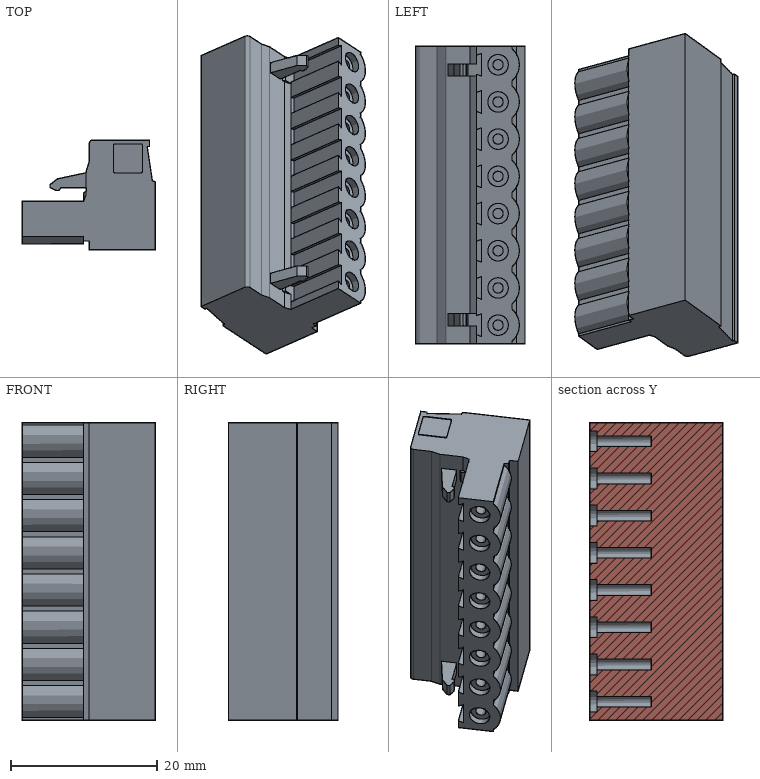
import cadquery as cq
import math


POLES = 8
PITCH = 5.08
LENGTH = POLES * PITCH

BACK_X = 18.2
HOUSING_X = 9.15
TOP_Y = 15.0
LEDGE_X = 17.4
LEDGE_DEPTH = 0.9
LEDGE_UNDERCUT = 0.3
BACK_SLOPE_X = 17.8
BACK_SLOPE_Y = 9.45
BACK_SHOULDER_Y = 9.3
TOP_FILLET = 0.5

STEP_X = 8.75
STEP_SLOPE_TOP_Y = 12.05
STEP_SLOPE_BOTTOM_Y = 10.8
CHAMFER_TOP_Y = 7.55

PLUG_END_X = 8.4
PLUG_BOTTOM_Y = 1.8
PLUG_TOP_Y = 6.65
NECK_BOTTOM_Y = 1.2

AXIS_Y = 3.7
BARREL_RADIUS = 2.9
ENTRY_DIAMETER = 2.8
ENTRY_DEPTH = 1.0
CONTACT_DIAMETER = 1.4
CONTACT_DEPTH = PLUG_END_X

GROOVE_FLOOR_Y = 5.95
GROOVE_FLOOR_WIDTH = 3.1
GROOVE_MOUTH_WIDTH = 2.6

LATCH_WIDTH = 1.65
LATCH_END_OFFSET = 2.45
LATCH_TIP_X = 3.8
LATCH_TIP_TOP_Y = 8.9
LATCH_TIP_BOTTOM_Y = 8.5
LATCH_NOSE_TOP = (4.8, 9.7)
LATCH_ROOT_TOP_Y = 10.55
LATCH_BARB_FRONT = (4.65, 8.1)
LATCH_BARB_BACK = (5.05, 8.1)
LATCH_BARB_ROOT_X = 5.3
LATCH_UNDERSIDE_Y = 8.45
LATCH_EMBED = 0.5

STOP_FRONT_TOP_Y = 7.8
STOP_BACK_TOP_Y = 8.0

LABEL_SIZE = 3.95
LABEL_CENTER = (14.45, 12.5)
LABEL_DEPTH = 0.1
LABEL_CORNER_RADIUS = 0.2


def pole_height(index):
    """Z of the axis of one pole."""
    return (index + 0.5) * PITCH


def make_housing():
    """Housing, neck and plug as one profile extruded along the row."""
    profile = [
        (0, PLUG_BOTTOM_Y),
        (PLUG_END_X, PLUG_BOTTOM_Y),
        (PLUG_END_X, NECK_BOTTOM_Y),
        (HOUSING_X, NECK_BOTTOM_Y),
        (HOUSING_X, 0),
        (BACK_X, 0),
        (BACK_X, BACK_SHOULDER_Y),
        (BACK_SLOPE_X, BACK_SLOPE_Y),
        (LEDGE_X - LEDGE_UNDERCUT, TOP_Y - LEDGE_DEPTH),
        (LEDGE_X, TOP_Y - LEDGE_DEPTH),
        (LEDGE_X, TOP_Y),
        (HOUSING_X, TOP_Y),
        (HOUSING_X, STEP_SLOPE_TOP_Y),
        (STEP_X, STEP_SLOPE_BOTTOM_Y),
        (STEP_X, CHAMFER_TOP_Y),
        (PLUG_END_X, PLUG_TOP_Y),
        (0, PLUG_TOP_Y),
    ]
    housing = cq.Workplane("XY").polyline(profile).close().extrude(LENGTH)
    top_front_edge = cq.selectors.NearestToPointSelector((HOUSING_X, TOP_Y, LENGTH / 2))
    return housing.edges(top_front_edge).fillet(TOP_FILLET)


def make_barrel(z):
    """Round barrel of one pole, bulging out of the -Y side of the plug."""
    half_chord = math.sqrt(BARREL_RADIUS**2 - (AXIS_Y - PLUG_BOTTOM_Y) ** 2)
    return (
        cq.Workplane("YZ")
        .moveTo(PLUG_BOTTOM_Y, z - half_chord)
        .threePointArc((AXIS_Y - BARREL_RADIUS, z), (PLUG_BOTTOM_Y, z + half_chord))
        .lineTo(AXIS_Y, z + half_chord)
        .lineTo(AXIS_Y, z - half_chord)
        .close()
        .extrude(PLUG_END_X)
    )


def make_contact_hole(z):
    """Stepped hole that enters the mating face on the axis of one pole."""
    mating_face = cq.Workplane("YZ").center(AXIS_Y, z)
    entry = mating_face.circle(ENTRY_DIAMETER / 2).extrude(ENTRY_DEPTH)
    contact = mating_face.circle(CONTACT_DIAMETER / 2).extrude(CONTACT_DEPTH)
    return entry.union(contact)


def make_coding_groove(z):
    """Dovetail groove of one pole along the +Y side of the plug."""
    section = [
        (GROOVE_FLOOR_Y, z - GROOVE_FLOOR_WIDTH / 2),
        (PLUG_TOP_Y, z - GROOVE_MOUTH_WIDTH / 2),
        (PLUG_TOP_Y, z + GROOVE_MOUTH_WIDTH / 2),
        (GROOVE_FLOOR_Y, z + GROOVE_FLOOR_WIDTH / 2),
    ]
    return cq.Workplane("YZ").polyline(section).close().extrude(PLUG_END_X)


def make_latch(z_start):
    """Barbed latch arm and the stop block below it."""
    root_x = STEP_X + LATCH_EMBED
    arm_profile = [
        (LATCH_TIP_X, LATCH_TIP_BOTTOM_Y),
        (LATCH_TIP_X, LATCH_TIP_TOP_Y),
        LATCH_NOSE_TOP,
        (STEP_X, LATCH_ROOT_TOP_Y),
        (root_x, LATCH_ROOT_TOP_Y),
        (root_x, LATCH_UNDERSIDE_Y),
        (LATCH_BARB_ROOT_X, LATCH_UNDERSIDE_Y),
        LATCH_BARB_BACK,
        LATCH_BARB_FRONT,
    ]
    stop_profile = [
        (PLUG_END_X, PLUG_TOP_Y),
        (PLUG_END_X, STOP_FRONT_TOP_Y),
        (STEP_X, STOP_BACK_TOP_Y),
        (root_x, STOP_BACK_TOP_Y),
        (root_x, PLUG_TOP_Y),
    ]
    base = cq.Workplane("XY").workplane(offset=z_start)
    arm = base.polyline(arm_profile).close().extrude(LATCH_WIDTH)
    stop = base.polyline(stop_profile).close().extrude(LATCH_WIDTH)
    return arm.union(stop)


def make_label_recess():
    """Shallow square recess in the +Z end face."""
    return (
        cq.Workplane("XY")
        .workplane(offset=LENGTH - LABEL_DEPTH)
        .center(*LABEL_CENTER)
        .rect(LABEL_SIZE, LABEL_SIZE)
        .extrude(LABEL_DEPTH)
        .edges("|Z")
        .fillet(LABEL_CORNER_RADIUS)
    )


result = make_housing()
pole_heights = [pole_height(index) for index in range(POLES)]

for height in pole_heights:
    result = result.union(make_barrel(height))

for height in pole_heights:
    result = result.cut(make_contact_hole(height))
    result = result.cut(make_coding_groove(height))

for latch_start in (LATCH_END_OFFSET, LENGTH - LATCH_END_OFFSET - LATCH_WIDTH):
    result = result.union(make_latch(latch_start))

result = result.cut(make_label_recess())